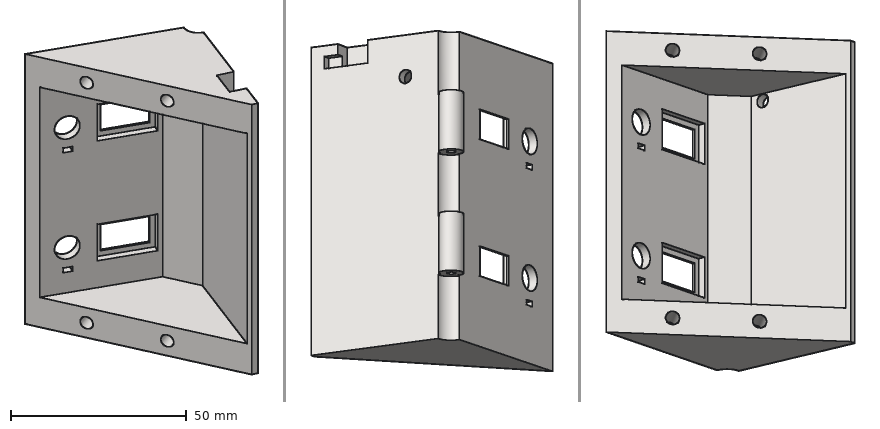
import cadquery as cq
import math

height = 90.0
width = 49.6
back_y = 51.6
hinge_x = 3.6
wall = 3.0
rim = 10.0
inner_chamfer_end_x = 14.5
lean = hinge_x / back_y
lean_angle = math.degrees(math.atan(lean))
inner_offset = wall * math.hypot(1, lean)
inner_back_y = back_y - wall

barrel_radius = 3.5
barrel_length = 17.3
pin_diameter = 2.6
clearance_radius = 4.2
barrel_end_gap = 18.6
barrel_starts = (barrel_end_gap, height - barrel_end_gap - barrel_length)

opening_levels = (25.0, 65.0)
window_length = 14.6
window_height = 8.7
window_along = 29.7
window_recess_margin = 1.7
window_lip = 0.7
button_diameter = 7.6
button_along = 11.7
slit_length = 2.8
slit_height = 1.5
slit_along = 11.9
slit_drop = 7.4

screw_diameter = 4.0
screw_depth = 10.0
screw_xs = (13.5, 31.1)
cable_hole_diameter = 4.0
cable_hole_x = 18.6
cable_hole_z = 77.85
notch_x = 31.05
notch_width = 9.7
notch_depth = 5.2
notch_height = 6.75
undercut_depth = 2.5
undercut_reach = 4.5
undercut_top_lip = 3.15
margin = 0.9


def box(x, y, z, dx, dy, dz):
    return cq.Workplane("XY").box(dx, dy, dz, centered=False).translate((x, y, z))


def cylinder(radius, z, length):
    return cq.Workplane("XY", origin=(hinge_x, back_y, z)).circle(radius).extrude(length)


def on_side_wall(shape):
    """Turn a shape built on the YZ plane so that it follows the leaning wall."""
    return shape.rotate((0, 0, 0), (0, 0, 1), -lean_angle)


def side_plane(along, level, depth=0.0):
    return cq.Workplane("YZ", origin=(depth, along, level))


def make_body():
    outline = [(0, 0), (width, width), (width, back_y), (hinge_x, back_y)]
    return cq.Workplane("XY").polyline(outline).close().extrude(height)


def make_cavity():
    """Hollow open through the slope, with a 45 degree face in the hinge corner."""
    edge = inner_offset / (1 - lean)
    mouth_y = -margin
    corner_y = (inner_offset + inner_back_y - inner_chamfer_end_x) / (1 - lean)
    corner_x = inner_offset + lean * corner_y
    outline = [
        (edge, edge),
        (corner_x, corner_y),
        (inner_chamfer_end_x, inner_back_y),
        (inner_back_y, inner_back_y),
        (inner_back_y, mouth_y),
        (edge, mouth_y),
    ]
    floor = cq.Workplane("XY", origin=(0, 0, rim))
    return floor.polyline(outline).close().extrude(height - 2 * rim)


def cut_hinge(body):
    """Clear the corner for the mating knuckles and keep it solid at the barrels."""
    start = 0.0
    for barrel_start in barrel_starts:
        body = body.cut(cylinder(clearance_radius, start, barrel_start - start))
        start = barrel_start + barrel_length
    body = body.cut(cylinder(clearance_radius, start, height - start))
    for barrel_start in barrel_starts:
        body = body.union(cylinder(barrel_radius, barrel_start, barrel_length))
    return body.cut(cylinder(pin_diameter / 2, 0, height))


def cut_side_openings(body):
    through = wall + 2 * margin
    recess_length = window_length + 2 * window_recess_margin
    recess_height = window_height + 2 * window_recess_margin
    for level in opening_levels:
        window = side_plane(window_along, level, -margin).rect(window_length, window_height)
        recess = side_plane(window_along, level, window_lip).rect(recess_length, recess_height)
        button = side_plane(button_along, level, -margin).circle(button_diameter / 2)
        slit = side_plane(slit_along, level - slit_drop, -margin).rect(slit_length, slit_height)
        for opening in (window, button, slit):
            body = body.cut(on_side_wall(opening.extrude(through)))
        body = body.cut(on_side_wall(recess.extrude(wall - window_lip)))
    return body


def cut_screw_holes(body):
    """Blind holes square to the slope, in the middle of both end rims."""
    inward = cq.Vector(-1, 1, 0).normalized()
    for x in screw_xs:
        for z in (rim / 2, height - rim / 2):
            start = cq.Vector(x, x, z) - inward * margin
            hole = cq.Solid.makeCylinder(screw_diameter / 2, screw_depth + margin, start, inward)
            body = body.cut(cq.Workplane(hole))
    return body


def cut_cable_passage(body):
    """Hole through the back wall, and an undercut notch in the top back edge."""
    hole = (
        cq.Workplane("XZ", origin=(cable_hole_x, back_y + margin, cable_hole_z))
        .circle(cable_hole_diameter / 2)
        .extrude(wall + 2 * margin)
    )
    notch_floor = height - notch_height
    notch = box(notch_x, back_y - notch_depth, notch_floor, notch_width, notch_depth, notch_height)
    undercut = box(
        notch_x,
        back_y - undercut_depth,
        notch_floor,
        notch_width + undercut_reach,
        undercut_depth,
        notch_height - undercut_top_lip,
    )
    return body.cut(hole).cut(notch).cut(undercut)


result = cut_hinge(make_body()).cut(make_cavity())
result = cut_side_openings(result)
result = cut_screw_holes(result)
result = cut_cable_passage(result)